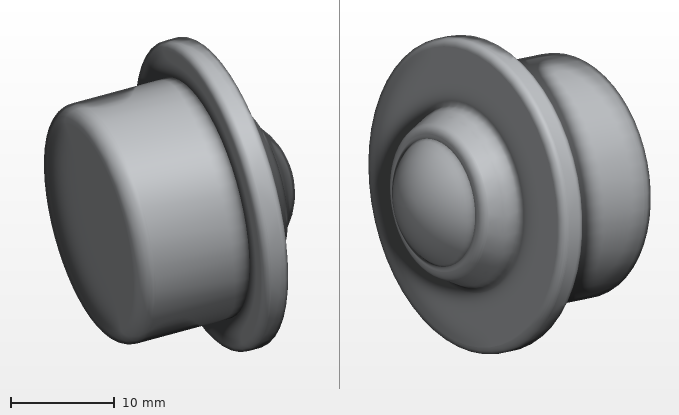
import cadquery as cq
import math

total_height = 20.95

housing_radius = 24.0 / 2
housing_height = 11.5
housing_edge_radius = 1.58

flange_radius = 15.5
flange_thickness = 2.8
flange_edge_radius = 0.78

collar_height = 3.5
collar_lower_radius = 8.9
collar_upper_radius = 7.65
collar_root_height = 0.3
collar_rim_height = 0.55

ball_opening_radius = 6.25

flange_top = housing_height + flange_thickness
collar_top = flange_top + collar_height
ball_cap_height = total_height - collar_top
ball_radius = (ball_opening_radius**2 + ball_cap_height**2) / (2 * ball_cap_height)
ball_center = total_height - ball_radius

half_cap_angle = math.asin(ball_opening_radius / ball_radius) / 2
ball_midpoint = (
    ball_radius * math.sin(half_cap_angle),
    ball_center + ball_radius * math.cos(half_cap_angle),
)

cone_rise = collar_height - collar_root_height - collar_rim_height
cone_run = collar_lower_radius - collar_upper_radius
arc_width_per_height = (cone_run + math.hypot(cone_run, cone_rise)) / cone_rise
collar_root_radius = collar_lower_radius + collar_root_height * arc_width_per_height
collar_top_radius = collar_upper_radius - collar_rim_height * arc_width_per_height

profile = (
    cq.Workplane("XY")
    .lineTo(housing_radius - housing_edge_radius, 0)
    .tangentArcPoint((housing_radius, housing_edge_radius), relative=False)
    .lineTo(housing_radius, housing_height)
    .lineTo(flange_radius - flange_edge_radius, housing_height)
    .tangentArcPoint((flange_radius, housing_height + flange_edge_radius), relative=False)
    .lineTo(flange_radius, flange_top - flange_edge_radius)
    .tangentArcPoint((flange_radius - flange_edge_radius, flange_top), relative=False)
    .lineTo(collar_root_radius, flange_top)
    .tangentArcPoint((collar_lower_radius, flange_top + collar_root_height), relative=False)
    .lineTo(collar_upper_radius, collar_top - collar_rim_height)
    .tangentArcPoint((collar_top_radius, collar_top), relative=False)
    .lineTo(ball_opening_radius, collar_top)
    .threePointArc(ball_midpoint, (0, total_height))
    .close()
)

result = profile.revolve(360, (0, 0), (0, 1))